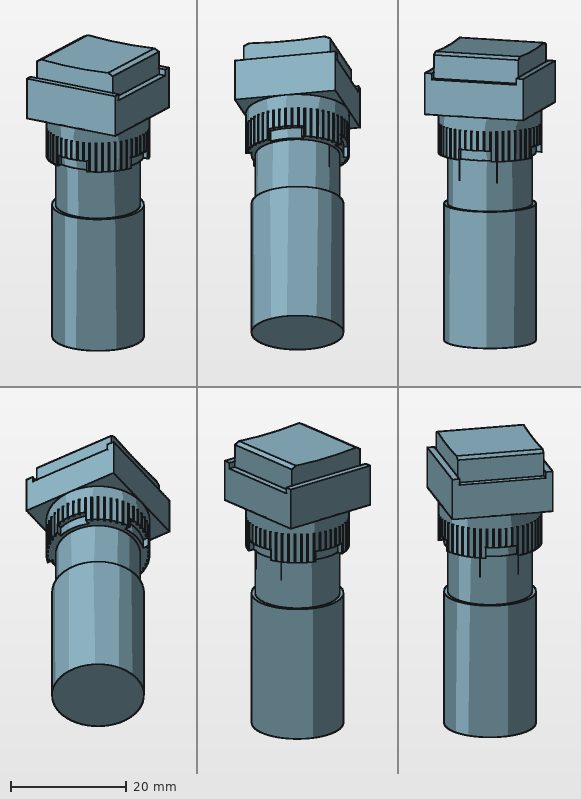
import cadquery as cq

total_height = 51.8
barrel_top = 24.15
block_bottom = 29.2
ring_bottom = 33.2
notch_top = 35.1
groove_top = 38.45
housing_bottom = 40.95
button_seat = 47.2
housing_top = 48.3

barrel_diameter = 16.0
neck_diameter = 14.7

housing_width = 18.0
ring_radius = housing_width / 2

button_width = 15.45
bevel_width = 0.95
bevel_height = 0.45
dish_depth = 0.25

groove_count = 50
groove_start_angle = -89.5
groove_width = 0.24
groove_depth = 0.3
notch_width = 5.8
notch_floor_diameter = barrel_diameter

block_width = 6.9
block_reach = 6.55


def cylinder(diameter, bottom, top):
    return cq.Workplane("XY").workplane(offset=bottom).circle(diameter / 2).extrude(top - bottom)


def block(size_x, size_y, bottom, top):
    return cq.Workplane("XY").workplane(offset=bottom).rect(size_x, size_y).extrude(top - bottom)


def make_housing():
    """Square housing whose +X and -X walls are lowered to the button seat."""
    housing = block(housing_width, housing_width, housing_bottom, housing_top)
    return housing.cut(block(housing_width, button_width, button_seat, housing_top))


def make_button():
    """Square button with bevelled X edges and a shallow dished top."""
    half_width = button_width / 2
    dish_edge = half_width - bevel_width
    bevel_bottom = total_height - bevel_height
    profile = (
        cq.Workplane("XZ")
        .moveTo(-half_width, button_seat)
        .lineTo(half_width, button_seat)
        .lineTo(half_width, bevel_bottom)
        .lineTo(dish_edge, total_height)
        .threePointArc((0, total_height - dish_depth), (-dish_edge, total_height))
        .lineTo(-half_width, bevel_bottom)
        .close()
    )
    return profile.extrude(half_width, both=True)


def make_ring():
    """Knurled ring with a round-floored notch on each of its four sides."""
    ring = cylinder(housing_width, ring_bottom, housing_bottom)
    grooves = (
        cq.Workplane("XY")
        .workplane(offset=ring_bottom)
        .polarArray(ring_radius, groove_start_angle, 360, groove_count)
        .rect(2 * groove_depth, groove_width)
        .extrude(groove_top - ring_bottom)
    )
    notches = block(housing_width, notch_width, ring_bottom, notch_top)
    notches = notches.union(block(notch_width, housing_width, ring_bottom, notch_top))
    floor = cylinder(notch_floor_diameter, ring_bottom, housing_bottom)
    return ring.cut(grooves).cut(notches).union(floor)


def make_neck():
    """Neck with an inner block whose two -X corners just break through the surface."""
    neck = cylinder(neck_diameter, barrel_top, housing_bottom)
    inner_block = block(block_reach, block_width, block_bottom, ring_bottom)
    return neck.union(inner_block.translate((-block_reach / 2, 0, 0)))


barrel = cylinder(barrel_diameter, 0, barrel_top)
result = barrel.union(make_neck()).union(make_ring()).union(make_housing()).union(make_button())